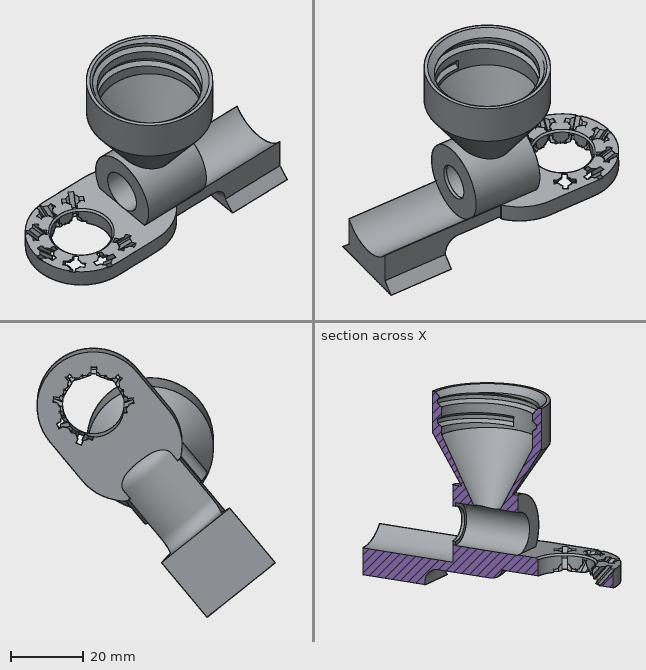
import cadquery as cq
import math


total_length = 80.25
total_height = 56.0
arm_end_y = 39.8
overlap = 0.8

axis_z = 18.85
barrel_radius = 11.2
barrel_front_y = -10.0
barrel_back_y = 11.1
bore_radius = 12.2 / 2
outlet_radius = 10.1 / 2
outlet_lip = 1.0

collar_radius = 35.0 / 2
collar_height = 12.0
collar_bore_radius = 29.0 / 2
mouth_chamfer = 2.0
cone_tip_radius = 0.8
collar_base_z = total_height - collar_height

thread_pitch = 5.7
thread_turns = 1.7
thread_depth = 1.3
thread_crest_width = 1.1
thread_root_width = 2.9
thread_start_z = 46.2

plate_radius = 15.6
plate_bottom_z = 7.7
plate_thickness = 5.2
plate_back_center_y = -10.7
plate_back_y = 1.6
ring_y = arm_end_y - total_length + plate_radius
ring_hole_radius = 17.0 / 2
ring_chamfer = 0.6
plate_top_z = plate_bottom_z + plate_thickness

slot_count = 7
slot_step = 40.0
slot_middle_angle = 270.0
slot_circle_radius = 12.7
slot_length = 6.2
slot_width = 1.5
slot_core_radius = 1.9
slot_inward_shift = 4.6

arm_width = 18.1
arm_side_top_z = 12.6
trough_radius = math.hypot(arm_width / 2, axis_z - arm_side_top_z)
arm_wall = 3.0
shell_radius = trough_radius + arm_wall
arm_front_y = -5.1
arm_rounding = 4.0

foot_length = 20.0
foot_flare = 3.1
foot_front_y = arm_end_y - foot_length


def cylinder_along_y(radius, start_y, end_y):
    profile = cq.Workplane("XZ", origin=(0, start_y, axis_z)).circle(radius)
    return profile.extrude(start_y - end_y)


def make_barrel():
    length = barrel_back_y - barrel_front_y
    middle_y = (barrel_back_y + barrel_front_y) / 2
    upper = cq.Workplane("XY", origin=(0, middle_y, arm_side_top_z))
    upper = upper.rect(2 * barrel_radius, length).extrude(2 * barrel_radius)
    lower = cq.Workplane("XY", origin=(0, middle_y, plate_bottom_z))
    lower = lower.rect(arm_width, length).extrude(arm_side_top_z - plate_bottom_z)
    cylinder = cylinder_along_y(barrel_radius, barrel_front_y, barrel_back_y)
    return cylinder.intersect(upper.union(lower))


def funnel_solid(base_radius, straight_top_z, top_radius):
    """Cone from the barrel axis up to the collar, a straight stretch, then a cone to the rim."""
    outline = (
        cq.Workplane("YZ")
        .moveTo(0, axis_z)
        .lineTo(cone_tip_radius, axis_z)
        .lineTo(base_radius, collar_base_z)
        .lineTo(base_radius, straight_top_z)
    )
    if top_radius > base_radius:
        outline = outline.lineTo(top_radius, total_height)
    return outline.lineTo(0, total_height).close().revolve(360, (0, 0), (0, 1))


def make_funnel_body():
    return funnel_solid(collar_radius, total_height, collar_radius)


def make_funnel_cavity():
    mouth_radius = collar_bore_radius + mouth_chamfer
    return funnel_solid(collar_bore_radius, total_height - mouth_chamfer, mouth_radius)


def make_thread_groove():
    flank_slope = (thread_root_width - thread_crest_width) / 2 / thread_depth
    inner_half = thread_root_width / 2 + flank_slope * overlap
    crest_half = thread_crest_width / 2
    inner_radius = collar_bore_radius - overlap
    crest_radius = collar_bore_radius + thread_depth
    helix = cq.Wire.makeHelix(thread_pitch, thread_pitch * thread_turns, collar_bore_radius)
    groove = (
        cq.Workplane("XZ")
        .polyline(
            [
                (inner_radius, -inner_half),
                (crest_radius, -crest_half),
                (crest_radius, crest_half),
                (inner_radius, inner_half),
            ]
        )
        .close()
        .sweep(cq.Workplane(obj=helix), isFrenet=True)
    )
    return groove.translate((0, 0, thread_start_z))


def make_plate():
    base = cq.Workplane("XY", origin=(0, 0, plate_bottom_z))
    straight_length = plate_back_center_y - ring_y
    outline = (
        base.center(0, (plate_back_center_y + ring_y) / 2)
        .slot2D(straight_length + 2 * plate_radius, 2 * plate_radius, 90)
        .extrude(plate_thickness)
    )
    back = base.center(0, plate_back_y + plate_radius).rect(2 * plate_radius, 2 * plate_radius)
    return outline.cut(back.extrude(plate_thickness))


def make_ring_hole():
    return (
        cq.Workplane("XZ", origin=(0, ring_y, 0))
        .moveTo(0, plate_bottom_z)
        .lineTo(ring_hole_radius, plate_bottom_z)
        .lineTo(ring_hole_radius, plate_top_z - ring_chamfer)
        .lineTo(ring_hole_radius + ring_chamfer, plate_top_z)
        .lineTo(0, plate_top_z)
        .close()
        .revolve(360, (0, 0), (0, 1))
    )


def slanted_prism(outline):
    """Sweep an outline on the plate top down through the plate, leaning towards the ring centre."""
    drop = plate_thickness + overlap
    shift = slot_inward_shift * drop / plate_thickness
    path = cq.Workplane("XZ").moveTo(slot_circle_radius, plate_top_z)
    path = path.lineTo(slot_circle_radius - shift, plate_top_z - drop)
    return outline.sweep(path)


def make_cross_slot(angle):
    top = cq.Workplane("XY", origin=(slot_circle_radius, 0, plate_top_z))
    slot = (
        slanted_prism(top.rect(slot_length, slot_width))
        .union(slanted_prism(top.rect(slot_width, slot_length)))
        .union(slanted_prism(top.circle(slot_core_radius)))
    )
    return slot.rotate((0, 0, 0), (0, 0, 1), angle).translate((0, ring_y, 0))


def make_foot():
    half_top = arm_width / 2
    half_base = half_top + foot_flare
    return (
        cq.Workplane("XZ", origin=(0, arm_end_y, 0))
        .polyline(
            [
                (-half_base, 0),
                (half_base, 0),
                (half_top, foot_flare),
                (half_top, arm_side_top_z),
                (-half_top, arm_side_top_z),
                (-half_top, foot_flare),
            ]
        )
        .close()
        .extrude(foot_length)
    )


def make_fillet_flange():
    flange_radius = shell_radius + arm_rounding
    arc_inset = arm_rounding * (1 - math.sqrt(0.5))
    return (
        cq.Workplane("XY")
        .moveTo(0, foot_front_y - arm_rounding)
        .lineTo(shell_radius, foot_front_y - arm_rounding)
        .threePointArc(
            (shell_radius + arc_inset, foot_front_y - arc_inset),
            (flange_radius, foot_front_y),
        )
        .lineTo(flange_radius, arm_end_y)
        .lineTo(0, arm_end_y)
        .close()
        .revolve(360, (0, 0), (0, 1))
        .translate((0, 0, axis_z))
    )


def make_arm():
    pipe = cylinder_along_y(shell_radius, arm_front_y, arm_end_y)
    pipe = pipe.faces("<Y").edges().fillet(arm_rounding)
    arm_length = arm_end_y - arm_front_y
    sides = cq.Workplane("XY", origin=(0, (arm_front_y + arm_end_y) / 2, 0))
    sides = sides.rect(arm_width, arm_length).extrude(arm_side_top_z)
    trough = cylinder_along_y(trough_radius, arm_front_y - overlap, arm_end_y + overlap)
    return pipe.union(make_fillet_flange()).intersect(sides).union(make_foot()).cut(trough)


plate = make_plate().cut(make_ring_hole())
for index in range(slot_count):
    offset = (index - (slot_count - 1) / 2) * slot_step
    plate = plate.cut(make_cross_slot(slot_middle_angle + offset))

barrel = make_barrel()
bore = cylinder_along_y(bore_radius, barrel_front_y, barrel_back_y - outlet_lip)
outlet = cylinder_along_y(outlet_radius, barrel_front_y, barrel_back_y + overlap)

result = (
    make_arm()
    .union(plate)
    .union(barrel)
    .union(make_funnel_body())
    .cut(bore)
    .cut(outlet)
    .cut(make_funnel_cavity())
    .cut(make_thread_groove())
)